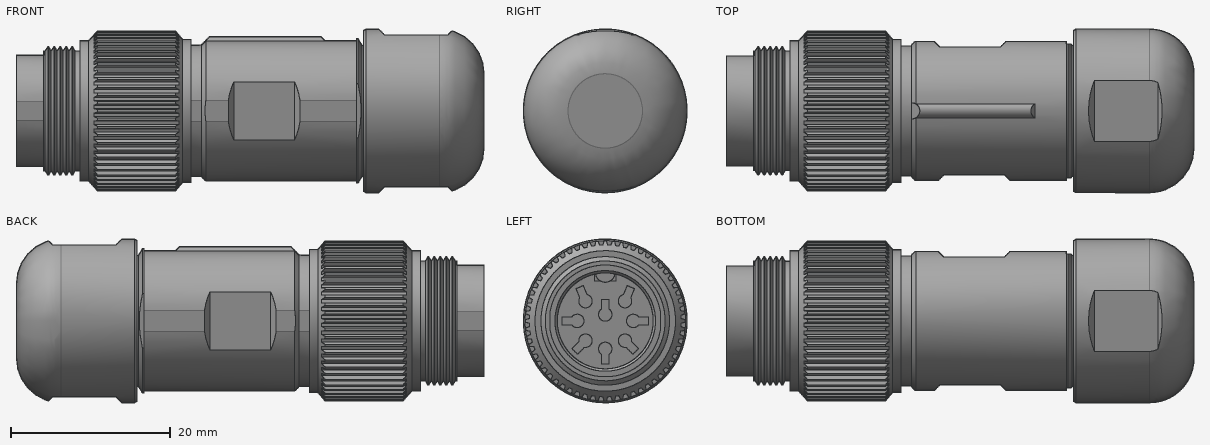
import cadquery as cq
import math

TOTAL_LENGTH = 58.52

SLEEVE_END = 3.4
SLEEVE_RADIUS = 7.0
SLEEVE_FLAT_WIDTH = 2.34
BORE_RADIUS = 12.0 / 2
BORE_CHAMFER = 0.3
BORE_DEPTH = 9.0

THREAD_START = 3.6
THREAD_RADIUS = 8.05
THREAD_ROOT_RADIUS = 15.0 / 2
THREAD_PITCH = 0.75
THREAD_CREST_WIDTH = 0.1
THREAD_RIDGES = 5

FRONT_COLLAR_START = 7.95
FRONT_COLLAR_RADIUS = 17.6 / 2
NUT_START = 9.05
NUT_FULL_START = 10.15
NUT_FULL_END = 19.9
NUT_END = 20.8
NUT_RADIUS = 10.0
KNURL_COUNT = 60
KNURL_DEPTH = 0.5
KNURL_GROOVE_WIDTH = 0.75
KNURL_FLOOR_WIDTH = 0.4
REAR_COLLAR_END = 21.85
REAR_COLLAR_RADIUS = 17.9 / 2

BODY_START = 23.15
BODY_END = 42.55
BODY_RADIUS = 17.6 / 2
NECK_RADIUS = 16.5 / 2
BODY_CHAMFER = BODY_RADIUS - NECK_RADIUS
SEAM_FLAT_WIDTH = 2.64
BODY_PAD_WIDTH = 7.27
BODY_PAD_LENGTH = 7.6
FRONT_PAD_CENTRE = 31.0
BACK_PAD_CENTRE = 30.5

RIB_RADIUS = 1.0
RIB_TOP = 9.3
RIB_START = BODY_START + BODY_CHAMFER
RIB_END = 38.6

RIDGE_RADIUS = 9.05
RIDGE_LAND = 0.2
RIDGE_LENGTH = 0.7
RIDGE_FLAT_WIDTH = 6.8
STUB_RADIUS = 8.2

CAP_START = 43.4
CAP_RADIUS = 20.5 / 2
CAP_CHAMFER_LENGTH = 0.35
CAP_CHAMFER_HEIGHT = 0.2
CAP_ROUND = 5.59
CAP_PAD_WIDTH = 7.62
CAP_PAD_START = 46.05
CAP_PAD_END = 54.0

KEY_RADIUS = 1.22
KEY_CENTRE_HEIGHT = 6.05
KEY_BASE_WIDTH = 2.75
KEY_BASE_BOTTOM = 5.0
KEY_BASE_LENGTH = 1.0

CONTACT_CIRCLE_RADIUS = 3.5
CONTACT_RADIUS = 0.84
CONTACT_SLOT_WIDTH = 1.0
CONTACT_SLOT_REACH = 1.9
CONTACT_DEPTH = 1.0
CENTRE_CONTACT_HEIGHT = 0.8
UPPER_SLOT_ANGLE = 67.5

MARGIN = 1.0


def flat_distance(radius, width):
    """Distance from the axis to a flat of the given width on a cylinder."""
    return math.sqrt(radius**2 - (width / 2) ** 2)


def box(x_range, y_range, z_range):
    """Axis-aligned box from its three ranges."""
    size = [high - low for low, high in (x_range, y_range, z_range)]
    corner = (x_range[0], y_range[0], z_range[0])
    return cq.Workplane("XY").box(*size, centered=False).translate(corner)


def across_x(x):
    """Plane normal to +X whose local axes are +Y and +Z."""
    return cq.Workplane("YZ", origin=(x, 0, 0))


def thread_points():
    """Outline points of the V-shaped thread ridges."""
    points = [(SLEEVE_END, THREAD_ROOT_RADIUS)]
    crest_half = THREAD_CREST_WIDTH / 2
    for ridge in range(THREAD_RIDGES):
        start = THREAD_START + ridge * THREAD_PITCH
        middle = start + THREAD_PITCH / 2
        points.append((start, THREAD_ROOT_RADIUS))
        points.append((middle - crest_half, THREAD_RADIUS))
        points.append((middle + crest_half, THREAD_RADIUS))
    points.append((THREAD_START + THREAD_RIDGES * THREAD_PITCH, THREAD_ROOT_RADIUS))
    return points


def turned_body():
    """Everything that is round about the axis, as one solid of revolution."""
    outline = [(0, 0), (0, SLEEVE_RADIUS), (SLEEVE_END, SLEEVE_RADIUS)]
    outline += thread_points()
    outline += [
        (FRONT_COLLAR_START, THREAD_ROOT_RADIUS),
        (FRONT_COLLAR_START, FRONT_COLLAR_RADIUS),
        (NUT_START, FRONT_COLLAR_RADIUS),
        (NUT_FULL_START, NUT_RADIUS),
        (NUT_FULL_END, NUT_RADIUS),
        (NUT_END, REAR_COLLAR_RADIUS),
        (REAR_COLLAR_END, REAR_COLLAR_RADIUS),
        (REAR_COLLAR_END, NECK_RADIUS),
        (BODY_START, NECK_RADIUS),
        (BODY_START + BODY_CHAMFER, BODY_RADIUS),
        (BODY_END, BODY_RADIUS),
        (BODY_END, RIDGE_RADIUS),
        (BODY_END + RIDGE_LAND, RIDGE_RADIUS),
        (BODY_END + RIDGE_LENGTH, STUB_RADIUS),
        (CAP_START, STUB_RADIUS),
        (CAP_START, CAP_RADIUS - CAP_CHAMFER_HEIGHT),
        (CAP_START + CAP_CHAMFER_LENGTH, CAP_RADIUS),
        (TOTAL_LENGTH - CAP_ROUND, CAP_RADIUS),
    ]
    round_centre = (TOTAL_LENGTH - CAP_ROUND, CAP_RADIUS - CAP_ROUND)
    diagonal = CAP_ROUND * math.sqrt(0.5)
    profile = (
        cq.Workplane("XY")
        .polyline(outline)
        .threePointArc(
            (round_centre[0] + diagonal, round_centre[1] + diagonal),
            (TOTAL_LENGTH, round_centre[1]),
        )
        .lineTo(TOTAL_LENGTH, 0)
        .close()
    )
    return profile.revolve(360, (0, 0, 0), (1, 0, 0))


def knurl_grooves():
    """Tapered grooves around the coupling nut, with a land at each axis direction."""
    floor = NUT_RADIUS - KNURL_DEPTH
    outer = NUT_RADIUS + KNURL_DEPTH
    floor_half = KNURL_FLOOR_WIDTH / 2
    outer_half = KNURL_GROOVE_WIDTH - floor_half
    groove = (
        across_x(NUT_START)
        .polyline([
            (-floor_half, floor),
            (floor_half, floor),
            (outer_half, outer),
            (-outer_half, outer),
        ])
        .close()
        .extrude(NUT_END - NUT_START)
        .val()
    )
    step = 360 / KNURL_COUNT
    grooves = []
    for index in range(KNURL_COUNT):
        grooves.append(groove.rotate((0, 0, 0), (1, 0, 0), (index + 0.5) * step))
    return cq.Workplane(obj=cq.Compound.makeCompound(grooves))


def side_flats(start, end, radius, width):
    """Material outside a pair of flats on the -Y and +Y sides."""
    inner = flat_distance(radius, width)
    outer = radius + MARGIN
    z_range = (-outer, outer)
    left = box((start, end), (-outer, -inner), z_range)
    return left.union(box((start, end), (inner, outer), z_range))


def pad_cut(start, end, radius, width):
    """Cut on the +Z side for a flat pad with end walls sloped at 45 degrees."""
    floor = flat_distance(radius, width)
    top = radius + MARGIN
    rise = top - floor
    return (
        cq.Workplane("XZ")
        .polyline([(start, floor), (end, floor), (end + rise, top), (start - rise, top)])
        .close()
        .extrude(radius, both=True)
    )


def about_axis(shape, angle):
    """Turn a shape about the connector axis."""
    return shape.rotate((0, 0, 0), (1, 0, 0), angle)


def rib():
    """Rounded rib on the body, both ends sloped at 45 degrees."""
    base = BODY_RADIUS - MARGIN
    centre = RIB_TOP - RIB_RADIUS
    rod = (
        across_x(RIB_START - MARGIN)
        .center(0, centre)
        .circle(RIB_RADIUS)
        .extrude(RIB_END - RIB_START + 2 * MARGIN)
    )
    rise = RIB_TOP - BODY_RADIUS
    envelope = (
        cq.Workplane("XZ")
        .polyline([
            (BODY_START, base),
            (BODY_START, NECK_RADIUS),
            (RIB_START + rise, RIB_TOP),
            (RIB_END - rise, RIB_TOP),
            (RIB_END, BODY_RADIUS),
            (RIB_END, base),
        ])
        .close()
        .extrude(RIB_RADIUS, both=True)
    )
    return rod.intersect(envelope)


def bore():
    """Mating bore with a chamfered mouth, less the key that stays inside it."""
    outline = [
        (0, 0),
        (0, BORE_RADIUS + BORE_CHAMFER),
        (BORE_CHAMFER, BORE_RADIUS),
        (BORE_DEPTH, BORE_RADIUS),
        (BORE_DEPTH, 0),
    ]
    hole = cq.Workplane("XY").polyline(outline).close().revolve(360, (0, 0, 0), (1, 0, 0))
    key = (
        across_x(BORE_CHAMFER)
        .center(0, KEY_CENTRE_HEIGHT)
        .circle(KEY_RADIUS)
        .extrude(BORE_DEPTH)
    )
    key_base = box(
        (BORE_DEPTH - KEY_BASE_LENGTH, BORE_DEPTH),
        (-KEY_BASE_WIDTH / 2, KEY_BASE_WIDTH / 2),
        (KEY_BASE_BOTTOM, BORE_RADIUS),
    )
    return hole.cut(key).cut(key_base)


def contact_cavity(y, z, slot_angle):
    """Keyhole pocket; slot_angle is measured from +Y towards +Z."""
    round_part = across_x(BORE_DEPTH).circle(CONTACT_RADIUS).extrude(CONTACT_DEPTH)
    slot = box(
        (BORE_DEPTH, BORE_DEPTH + CONTACT_DEPTH),
        (0, CONTACT_SLOT_REACH),
        (-CONTACT_SLOT_WIDTH / 2, CONTACT_SLOT_WIDTH / 2),
    )
    keyhole = round_part.union(about_axis(slot, slot_angle))
    return keyhole.translate((0, y, z))


def contact_cavities():
    """One cavity near the axis and seven on a circle; the key takes the eighth place."""
    cavities = [contact_cavity(0, CENTRE_CONTACT_HEIGHT, 90)]
    slot_angles = {45: UPPER_SLOT_ANGLE, 135: 180 - UPPER_SLOT_ANGLE}
    for place in (0, 45, 135, 180, 225, 270, 315):
        y = CONTACT_CIRCLE_RADIUS * math.cos(math.radians(place))
        z = CONTACT_CIRCLE_RADIUS * math.sin(math.radians(place))
        cavities.append(contact_cavity(y, z, slot_angles.get(place, place)))
    return cavities


def body_pad(centre):
    """Wrench pad cut on the body, before it is turned to its side."""
    half = BODY_PAD_LENGTH / 2
    return pad_cut(centre - half, centre + half, BODY_RADIUS, BODY_PAD_WIDTH)


result = turned_body().cut(knurl_grooves())

result = result.cut(side_flats(0, SLEEVE_END, SLEEVE_RADIUS, SLEEVE_FLAT_WIDTH))
result = result.cut(side_flats(REAR_COLLAR_END, BODY_START, NECK_RADIUS, SEAM_FLAT_WIDTH))
result = result.cut(side_flats(BODY_START, BODY_END, BODY_RADIUS, SEAM_FLAT_WIDTH))
result = result.cut(side_flats(BODY_END, CAP_START, RIDGE_RADIUS, RIDGE_FLAT_WIDTH))

result = result.cut(about_axis(body_pad(FRONT_PAD_CENTRE), 90))
result = result.cut(about_axis(body_pad(BACK_PAD_CENTRE), -90))
cap_pad = pad_cut(CAP_PAD_START, CAP_PAD_END, CAP_RADIUS, CAP_PAD_WIDTH)
result = result.cut(cap_pad).cut(about_axis(cap_pad, 180))

result = result.union(rib()).cut(bore())
for cavity in contact_cavities():
    result = result.cut(cavity)